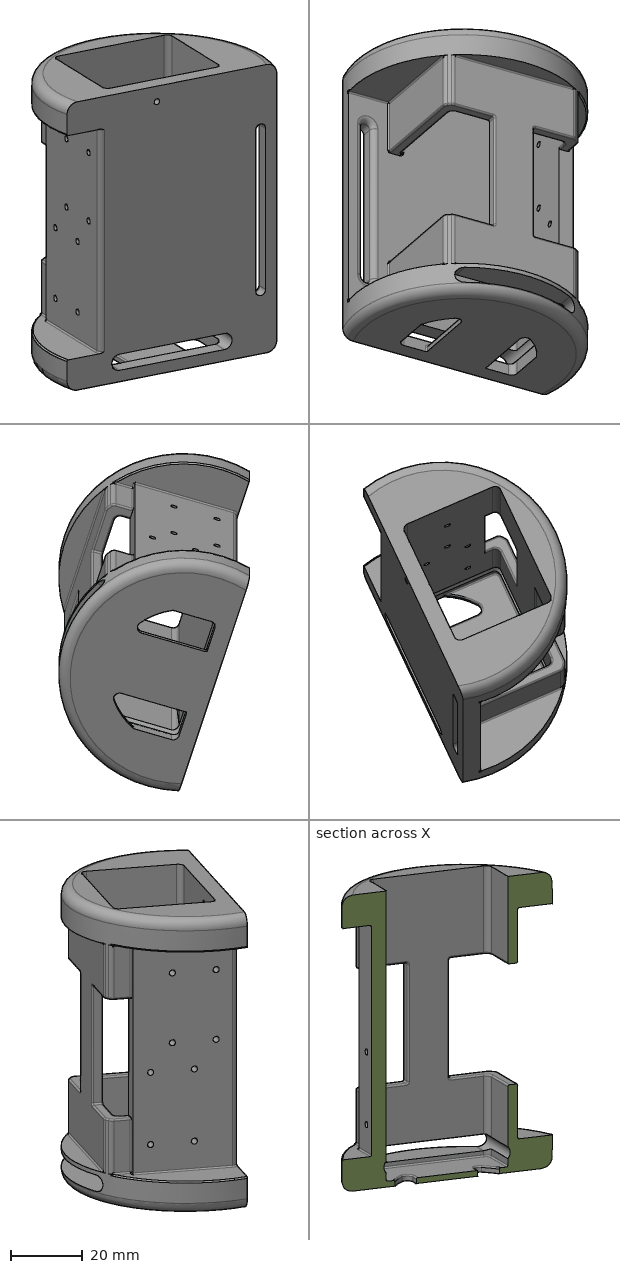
import cadquery as cq
height = 85.7
round_radius = 34.7
flat_x = 8.9
beyond = 2 * round_radius
mid_z = height / 2

flange_thickness = 9.5
rim_fillet = 3.2
flange_edge_fillet = 0.4

cavity_front_x = -25.5
cavity_back_x = 3.95
cavity_half_width = 18.5
cavity_corner_radius = 1.7

front_wall = 3.3
side_wall = 3.1
box_corner_fillet = 1.7
foot_fillet = 0.4
box_front_x = cavity_front_x - front_wall
box_half_width = cavity_half_width + side_wall

plate_front_x = -21.35
plate_outer_y = -23.15
plate_back_fillet = 1.55
wall_joint_fillet = 0.4
plate_rounding_y = plate_outer_y + plate_back_fillet

window_bottom_z = 25.5
column_half_width = 6.35
window_edge_fillet = 0.5
window_corner_fillet = 0.5

floor_thickness = 1.8
opening_inner_y = 9.4
opening_radius = 20.5
opening_corner_radius = 1.7
floor_fillet = 0.4

flange_slot_z = 5.8
flange_slot_width = 4.8
flange_slot_length = 38.4
wing_slot_y = 28.4
wing_slot_width = 3.1
wing_slot_length = 51.0
wing_slot_fillet = 1.7

screw_diameter = 1.7
screw_spacing_x = 12.6
upper_screws_x = -9.95
upper_screws_z = (47.0, 67.3)
lower_screws_x = -16.2
lower_screws_z = (17.8, 38.8)
back_hole_y = -4.8
back_hole_z = 81.1

tolerance = 0.04


def block(x_range, y_range, z_range):
    """Box that fills the given ranges."""
    (x0, x1), (y0, y1), (z0, z1) = x_range, y_range, z_range
    return cq.Workplane("XY", origin=(x0, y0, z0)).box(x1 - x0, y1 - y0, z1 - z0, centered=False)


def near(a, b):
    return abs(a - b) < tolerance


def fillet_where(solid, radius, wanted):
    """Fillet the edges whose centre point satisfies the test."""
    edges = [edge for edge in solid.edges().vals() if wanted(edge.Center())]
    return solid.newObject(edges).fillet(radius)


def round_slab(z0, z1):
    """Slice of the round grip, cut by the flat."""
    disc = cq.Workplane("XY", origin=(0, 0, z0)).circle(round_radius).extrude(z1 - z0)
    return disc.intersect(block((-beyond, flat_x), (-beyond, beyond), (z0, z1)))


def make_flange():
    """Flange with a rounded lower rim; its upper edge is eased only beside the screw plate."""
    disc = cq.Workplane("XY").circle(round_radius).extrude(flange_thickness)
    disc = disc.faces("<Z").edges().fillet(rim_fillet)
    eased_disc = disc.faces(">Z").edges().fillet(flange_edge_fillet)
    levels = (0, flange_thickness)
    plain_part = disc.intersect(block((-beyond, flat_x), (plate_rounding_y, beyond), levels))
    eased_part = eased_disc.intersect(block((-beyond, flat_x), (-beyond, plate_rounding_y), levels))
    return plain_part.union(eased_part)


def make_walls():
    """Lower half of the box, the screw plate and the wing."""
    levels = (flange_thickness, mid_z)
    box = block((box_front_x, cavity_back_x), (-box_half_width, box_half_width), levels)
    box = box.intersect(round_slab(*levels))
    box = box.edges("|Z and (not >X)").fillet(box_corner_fillet)
    plate = block((plate_front_x, flat_x), (plate_outer_y, 0), levels)
    plate = plate.edges("|Z and >X and <Y").fillet(plate_back_fillet)
    wing = block((cavity_back_x, flat_x), (0, beyond), levels).intersect(round_slab(*levels))
    walls = box.union(plate).union(wing)

    def is_wall_joint(p):
        at_plate = near(p.x, plate_front_x) and near(p.y, -box_half_width)
        at_wing = near(p.x, cavity_back_x) and near(p.y, box_half_width)
        return (at_plate or at_wing) and near(p.z, (levels[0] + levels[1]) / 2)

    return fillet_where(walls, wall_joint_fillet, is_wall_joint)


def foot_strip(wall_point, outward, length):
    """Concave fillet strip where a straight wall stands on the flange, centred on wall_point."""
    direction = cq.Vector(*outward)
    plane = cq.Plane(
        origin=(*wall_point, flange_thickness), xDir=direction, normal=direction.cross(cq.Vector(0, 0, 1))
    )
    profile = (
        cq.Workplane(plane)
        .moveTo(-foot_fillet, -foot_fillet)
        .lineTo(foot_fillet, -foot_fillet)
        .lineTo(foot_fillet, 0)
        .radiusArc((0, foot_fillet), foot_fillet)
        .lineTo(-foot_fillet, foot_fillet)
        .close()
    )
    return profile.extrude(length / 2, both=True)


def add_feet(half):
    """Concave fillets between the walls and the flange."""
    half = fillet_where(
        half,
        foot_fillet,
        lambda p: near(p.z, flange_thickness)
        and p.x > plate_front_x + tolerance
        and plate_outer_y - tolerance < p.y < plate_rounding_y - tolerance
        and p.x < flat_x - tolerance,
    )
    front_half_length = (round_radius**2 - (box_front_x - foot_fillet) ** 2) ** 0.5
    side_start_x = -((round_radius**2 - (box_half_width + foot_fillet) ** 2) ** 0.5)
    half = half.union(foot_strip((box_front_x, 0), (-1, 0, 0), 2 * front_half_length))
    for y, side, end_x in ((-box_half_width, -1, plate_front_x), (box_half_width, 1, cavity_back_x)):
        point = ((side_start_x + end_x) / 2, y)
        half = half.union(foot_strip(point, (0, side, 0), end_x - side_start_x))
    step = -box_half_width - plate_outer_y
    half = half.union(foot_strip((plate_front_x, plate_outer_y + step / 2), (-1, 0, 0), step))
    wing_outer_y = (round_radius**2 - (cavity_back_x - foot_fillet) ** 2) ** 0.5
    wing_point = (cavity_back_x, (box_half_width + wing_outer_y) / 2)
    return half.union(foot_strip(wing_point, (-1, 0, 0), wing_outer_y - box_half_width))


def make_cavity(z0, z1):
    cavity = block((cavity_front_x, cavity_back_x), (-cavity_half_width, cavity_half_width), (z0, z1))
    return cavity.edges("|Z").fillet(cavity_corner_radius)


def cut_window(half):
    """Open the front and sides of the box and round the edges around the opening."""
    levels = (window_bottom_z, mid_z)
    near_side = block((-beyond, plate_front_x), (-beyond, -column_half_width), levels)
    far_side = block((-beyond, cavity_back_x), (column_half_width, beyond), levels)
    half = half.cut(near_side.edges("|X and >Y and <Z").fillet(window_corner_fillet))
    half = half.cut(far_side.edges("|X and <Y and <Z").fillet(window_corner_fillet))

    def is_window_edge(p):
        above_sill = window_bottom_z + tolerance < p.z < mid_z - tolerance
        if above_sill and near(abs(p.y), column_half_width):
            return near(p.x, box_front_x) or near(p.x, cavity_front_x)
        end_x = plate_front_x if p.y < 0 else cavity_back_x - cavity_corner_radius
        across_wall = abs(p.y) < column_half_width + window_corner_fillet + tolerance
        at_wall_face = near(p.x, box_front_x) or near(p.x, cavity_front_x)
        return near(p.z, window_bottom_z) and p.x < end_x - tolerance and (at_wall_face or not across_wall)

    return fillet_where(half, window_edge_fillet, is_window_edge)


def make_floor():
    """Cavity floor with an opening on each side, bounded by a round wall in front."""
    reach = 2 * cavity_half_width
    levels = (0, floor_thickness)
    floor = block((-reach, reach), (-reach, reach), levels)
    disc = cq.Workplane("XY").circle(opening_radius).extrude(floor_thickness)
    for y_range in ((-reach, -opening_inner_y), (opening_inner_y, reach)):
        opening = disc.intersect(block((-reach, reach), y_range, levels))
        floor = floor.cut(opening.edges("|Z").fillet(opening_corner_radius))
    floor = fillet_where(
        floor, floor_fillet, lambda p: near(p.z, floor_thickness) and max(abs(p.x), abs(p.y)) < reach - tolerance
    )
    return floor.intersect(make_cavity(*levels))


def on_cavity_wall(p):
    in_front_corner = p.x < cavity_front_x + cavity_corner_radius
    return in_front_corner or near(p.x, cavity_back_x) or near(abs(p.y), cavity_half_width)


lower_half = add_feet(make_walls().union(make_flange()))
lower_half = cut_window(lower_half.cut(make_cavity(0, mid_z)))
upper_half = lower_half.mirror("XY").translate((0, 0, height))
result = lower_half.union(upper_half).union(make_floor()).clean()
result = fillet_where(
    result,
    floor_fillet,
    lambda p: near(p.z, floor_thickness) and p.x > cavity_front_x - tolerance and on_cavity_wall(p),
)

flange_slot = (
    cq.Workplane("YZ", origin=(-beyond, 0, flange_slot_z))
    .slot2D(flange_slot_length, flange_slot_width)
    .extrude(2 * beyond)
)
wing_slot = (
    cq.Workplane("YZ", origin=(0, wing_slot_y, mid_z))
    .slot2D(wing_slot_length, wing_slot_width, 90)
    .extrude(beyond)
)
result = result.cut(flange_slot).cut(wing_slot)
result = fillet_where(
    result,
    wing_slot_fillet,
    lambda p: near(p.x, cavity_back_x)
    and abs(p.y - wing_slot_y) < wing_slot_width
    and abs(p.z - mid_z) < wing_slot_length / 2 + tolerance,
)

for first_x, levels in ((upper_screws_x, upper_screws_z), (lower_screws_x, lower_screws_z)):
    centres = [(x, z) for x in (first_x, first_x + screw_spacing_x) for z in levels]
    result = result.cut(cq.Workplane("XZ").pushPoints(centres).circle(screw_diameter / 2).extrude(beyond))
back_hole = cq.Workplane("YZ").center(back_hole_y, back_hole_z).circle(screw_diameter / 2).extrude(beyond)
result = result.cut(back_hole)